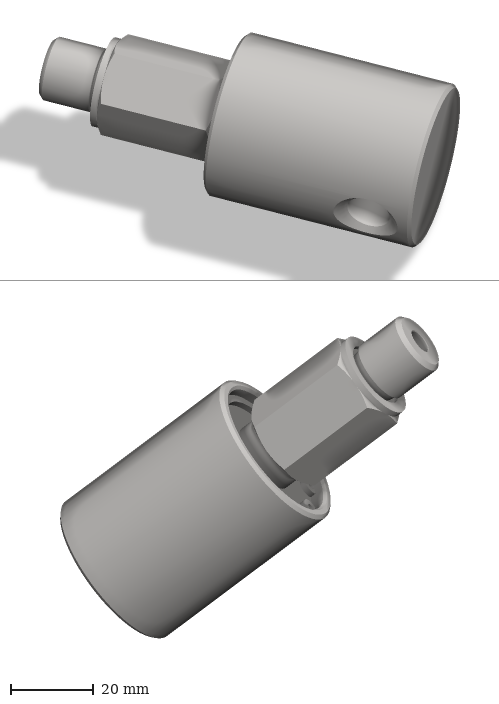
import cadquery as cq
import math

total_length = 98.23

spigot_diameter = 15.84
spigot_end = 12.9
spigot_chamfer = 1.1
relief_start_diameter = 14.6
relief_end_diameter = 13.8
relief_flank_length = 0.2
collar_start = 14.3
collar_diameter = 22.2
undercut_diameter = 16.5
undercut_depth = 1.1
bore_diameter = 6.0
bore_mouth_diameter = 6.4
bore_depth = 75.0

hex_start = 16.0
hex_end = 44.5
hex_across_flats = 21.9
hex_chamfer_angle = 30.0
neck_diameter = 17.85

housing_start = 45.7
housing_diameter = 40.71
housing_chamfer = 0.85

recess_diameter = 35.05
recess_mouth_diameter = 36.4
recess_depth = 4.4
ring_thickness = 1.5
ring_inner_diameter = 31.0
lug_diameter = 4.7
lug_hole_diameter = 1.98
lug_y = -15.6
lug_z = 5.0

port_x = 86.9
port_diameter = 10.72
port_mouth_diameter = 16.2
countersink_depth = 2.4
port_floor_diameter = 15.4

housing_radius = housing_diameter / 2
recess_floor = housing_start + recess_depth
hex_across_corners = hex_across_flats / math.cos(math.radians(30))
hex_chamfer_height = (hex_across_corners - hex_across_flats) / 2
hex_chamfer_length = hex_chamfer_height * math.tan(math.radians(hex_chamfer_angle))


def cylinder(diameter, start, end):
    """Cylinder on the X axis between two X positions."""
    return cq.Workplane("YZ", origin=(start, 0, 0)).circle(diameter / 2).extrude(end - start)


def revolve_about_x(profile):
    """Solid of revolution from (x, radius) points."""
    return cq.Workplane("XY").polyline(profile).close().revolve(360, (0, 0, 0), (1, 0, 0))


def make_stem():
    """Spigot, tapered thread relief, undercut collar, hexagon and neck."""
    spigot = cylinder(spigot_diameter, 0, spigot_end).faces("<X").chamfer(spigot_chamfer)
    collar = cylinder(collar_diameter, collar_start, hex_start)
    undercut_floor = collar_start + undercut_depth
    collar = collar.cut(cylinder(undercut_diameter, collar_start, undercut_floor))
    relief = revolve_about_x([
        (spigot_end, 0),
        (spigot_end, spigot_diameter / 2),
        (spigot_end + relief_flank_length, relief_start_diameter / 2),
        (undercut_floor, relief_end_diameter / 2),
        (undercut_floor, 0),
    ])
    neck = cylinder(neck_diameter, hex_end, recess_floor)
    return spigot.union(relief).union(collar).union(make_hexagon()).union(neck)


def make_bore():
    """Blind axial bore with a small chamfer at its mouth."""
    bore_radius = bore_diameter / 2
    mouth_radius = bore_mouth_diameter / 2
    return revolve_about_x([
        (0, 0),
        (0, mouth_radius),
        (mouth_radius - bore_radius, bore_radius),
        (bore_depth, bore_radius),
        (bore_depth, 0),
    ])


def make_hexagon():
    """Hexagonal prism with corners on +-Z and both ends turned conically."""
    prism = (
        cq.Workplane("YZ", origin=(hex_start, 0, 0))
        .transformed(rotate=(0, 0, 90))
        .polygon(6, hex_across_corners)
        .extrude(hex_end - hex_start)
    )
    flat_radius = hex_across_flats / 2
    corner_radius = hex_across_corners / 2
    turned_blank = revolve_about_x([
        (hex_start, 0),
        (hex_start, flat_radius),
        (hex_start + hex_chamfer_length, corner_radius),
        (hex_end - hex_chamfer_length, corner_radius),
        (hex_end, flat_radius),
        (hex_end, 0),
    ])
    return prism.intersect(turned_blank)


def make_housing():
    """Chamfered cylinder with a stepped recess in its -X face."""
    recess_radius = recess_diameter / 2
    mouth_radius = recess_mouth_diameter / 2
    face_radius = housing_radius - housing_chamfer
    return revolve_about_x([
        (recess_floor, 0),
        (recess_floor, recess_radius),
        (housing_start + mouth_radius - recess_radius, recess_radius),
        (housing_start, mouth_radius),
        (housing_start, face_radius),
        (housing_start + housing_chamfer, housing_radius),
        (total_length - housing_chamfer, housing_radius),
        (total_length, face_radius),
        (total_length, 0),
    ])


def make_retaining_ring():
    """Open ring on the recess floor, with a drilled lug at each end."""
    ring_front = recess_floor - ring_thickness
    outer = cylinder(recess_diameter, ring_front, recess_floor)
    ring = outer.cut(cylinder(ring_inner_diameter, ring_front, recess_floor))
    gap_y = math.copysign(recess_diameter, lug_y)
    gap_z = abs(gap_y / lug_y) * lug_z
    gap = (
        cq.Workplane("YZ", origin=(ring_front, 0, 0))
        .polyline([(0, 0), (gap_y, gap_z), (gap_y, -gap_z)])
        .close()
        .extrude(ring_thickness)
    )
    lug_centres = [(lug_y, lug_z), (lug_y, -lug_z)]
    plane = cq.Workplane("YZ", origin=(ring_front, 0, 0)).pushPoints(lug_centres)
    lugs = plane.circle(lug_diameter / 2).extrude(ring_thickness).intersect(outer)
    holes = plane.circle(lug_hole_diameter / 2).extrude(ring_thickness)
    return ring.cut(gap).union(lugs).cut(holes)


def make_port():
    """Countersunk port from -Y, ending on a cylindrical floor about the X axis."""
    port_radius = port_diameter / 2
    mouth_radius = port_mouth_diameter / 2
    profile = [
        (0, 0),
        (port_radius, 0),
        (port_radius, -housing_radius + countersink_depth),
        (mouth_radius, -housing_radius),
        (0, -housing_radius),
    ]
    cutter = (
        cq.Workplane("XY", origin=(port_x, 0, 0))
        .polyline(profile)
        .close()
        .revolve(360, (0, 0, 0), (0, 1, 0))
    )
    return cutter.cut(cylinder(port_floor_diameter, housing_start, total_length))


result = (
    make_housing()
    .cut(make_port())
    .union(make_retaining_ring())
    .union(make_stem())
    .cut(make_bore())
)